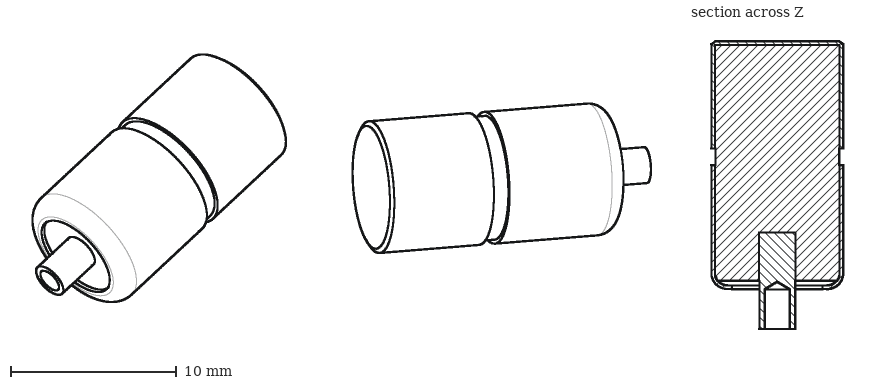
import cadquery as cq
import math


overall_length = 17.4
body_diameter = 8.0
body_length = 15.0
wall = 0.25
inner_diameter = body_diameter - 2 * wall

rear_shell_length = 6.5
shell_gap = 1.0
rear_shell_start = body_length - rear_shell_length
front_shell_length = rear_shell_start - shell_gap

front_fillet = 1.0
inner_fillet = front_fillet - wall
opening_diameter = 5.45

rear_bevel_length = 0.2
rear_bevel_depth = 0.28

core_start = 0.5
core_end = body_length - wall

contact_front = body_length - overall_length
contact_diameter = 2.2
contact_exposed_length = core_start - contact_front
contact_end = core_start + contact_exposed_length
drill_diameter = 1.5
drill_depth = -contact_front
drill_point_angle = 118


def cylinder(diameter, start, end):
    """Solid cylinder along Y between the positions start and end."""
    start_plane = cq.Workplane("XZ", origin=(0, start, 0))
    return start_plane.circle(diameter / 2).extrude(start - end)


def round_nosed_cylinder(diameter, start, end, nose_radius):
    """Cylinder along Y with its front edge rounded."""
    return cylinder(diameter, start, end).faces("<Y").edges().fillet(nose_radius)


def make_front_shell():
    outside = round_nosed_cylinder(body_diameter, 0, front_shell_length, front_fillet)
    cavity = round_nosed_cylinder(inner_diameter, wall, front_shell_length, inner_fillet)
    opening = cylinder(opening_diameter, 0, front_shell_length)
    return outside.cut(cavity).cut(opening)


def make_rear_shell():
    half_profile = (
        cq.Workplane("XY")
        .moveTo(0, rear_shell_start)
        .lineTo(body_diameter / 2, rear_shell_start)
        .lineTo(body_diameter / 2, body_length - rear_bevel_length)
        .lineTo(body_diameter / 2 - rear_bevel_depth, body_length)
        .lineTo(0, body_length)
        .close()
    )
    outside = half_profile.revolve(360, (0, 0), (0, 1))
    return outside.cut(cylinder(inner_diameter, rear_shell_start, core_end))


def make_core():
    """Plug that follows the inside of the shells, cut flat at its front."""
    plug = round_nosed_cylinder(inner_diameter, wall, core_end, inner_fillet)
    plug = plug.cut(cylinder(inner_diameter, wall, core_start))
    return plug.cut(cylinder(contact_diameter, core_start, contact_end))


def make_drilled_hole():
    """Space left by the drill: a cylinder that ends in a cone."""
    radius = drill_diameter / 2
    point_length = radius / math.tan(math.radians(drill_point_angle / 2))
    shoulder = contact_front + drill_depth
    half_profile = (
        cq.Workplane("XY")
        .moveTo(0, contact_front)
        .lineTo(radius, contact_front)
        .lineTo(radius, shoulder)
        .lineTo(0, shoulder + point_length)
        .close()
    )
    return half_profile.revolve(360, (0, 0), (0, 1))


def make_contact():
    pin = cylinder(contact_diameter, contact_front, contact_end)
    return pin.cut(make_drilled_hole())


front_shell = make_front_shell()
rear_shell = make_rear_shell()
core = make_core()
contact = make_contact()

result = cq.Compound.makeCompound(
    [front_shell.val(), rear_shell.val(), core.val(), contact.val()]
)